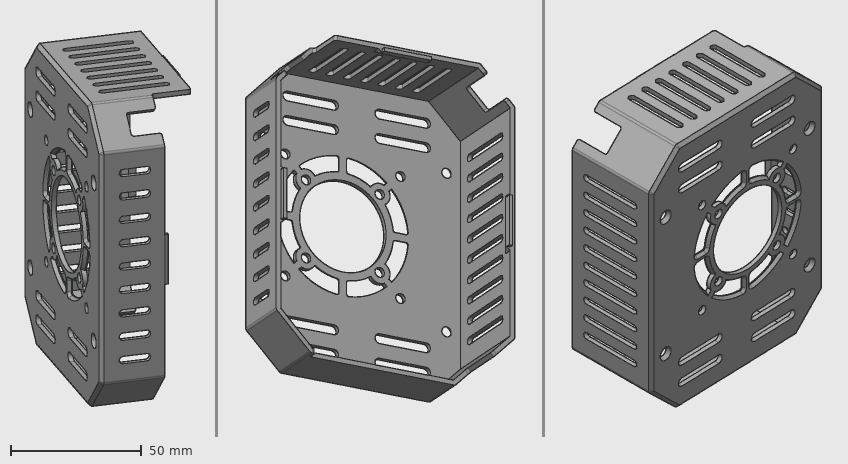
import cadquery as cq
import math

WIDTH = 95.0
HEIGHT = 125.0
DEPTH = 42.0
CORNER_CUT = 15.0
CORNER_RADIUS = 1.6
WALL = 2.0
PLATE_CHAMFER = 1.5

SIDE_RIM = DEPTH - 16.0
BOTTOM_RIM = DEPTH - 20.0
STEP_X = 30.6
DIAGONAL_STEP = -1.6
NOTCH_RADIUS = 1.0

LEFT_NOTCH_LENGTH = 12.0
LEFT_NOTCH_DEPTH = 15.0
RIGHT_NOTCH_LENGTH = 10.0
RIGHT_NOTCH_DEPTH = 12.0

WALL_SLOT_WIDTH = 3.0
SLOT_START = 7.8
SLOT_END = 35.9
SHORT_SLOT_END = 20.2
TOP_SLOTS = 7
TOP_SLOT_PITCH = 7.5
LEFT_SLOTS = 10
LEFT_SLOT_PITCH = HEIGHT / 15
RIGHT_SLOTS = 9
RIGHT_SLOT_PITCH = 9.6

PLATE_SLOT_LENGTH = 24.0
PLATE_SLOT_WIDTH = 4.0
PLATE_SLOT_X = 20.0
PLATE_SLOT_ROWS = (41.0, 51.0)
PLATE_SLOT_CENTRE = (-0.5, 0.4)

HOLE_DIAMETER = 4.0
MOUNT_X = 39.5
MOUNT_Z = 32.5
MOUNT_SINK_DIAMETER = 6.0

FAN_X = 5.5
FAN_Z = 2.5
FAN_BORE_RADIUS = 18.8
VENT_INNER_RADIUS = 21.0
VENT_OUTER_RADIUS = 29.5
SPOKE_WIDTH = 1.2
VENT_RADIUS = 2.0
VENT_BEVEL_WIDTH = 1.0
VENT_BEVEL_DEPTH = 1.5
SMALL_FAN_OFFSET = 16.0
LARGE_FAN_OFFSET = 25.0
BOSS_RADIUS = 4.5
BRACE_WIDTH = 3.0

TAB_LENGTH = 20.5
TAB_THICKNESS = 1.5
TAB_HEIGHT = 2.0
TAB_GRIP = 1.0
TAB_ROOT = 3.6

RIGHT, UPPER_RIGHT, TOP, UPPER_LEFT, LEFT, LOWER_LEFT, BOTTOM = range(0, 271, 45)


def plate_plane(y):
    """Plane parallel to the plate: local x is Z, local y is X, extruding towards +Y."""
    return cq.Plane(origin=(0, y, 0), xDir=(0, 0, 1), normal=(0, 1, 0))


def octagon(y, inset, depth):
    """Octagonal prism whose sides lie `inset` inside the outer walls."""
    x = WIDTH / 2 - inset
    z = HEIGHT / 2 - inset
    cut = CORNER_CUT - inset * (2 - math.sqrt(2))
    points = [
        (z, x - cut), (z - cut, x), (cut - z, x), (-z, x - cut),
        (-z, cut - x), (cut - z, -x), (z - cut, -x), (z, cut - x),
    ]
    return cq.Workplane(plate_plane(y)).polyline(points).close().extrude(depth)


def wall_plane(angle):
    """Plane on the outside of a wall: local y is Y, extruding outwards."""
    outward_x = math.cos(math.radians(angle))
    outward_z = math.sin(math.radians(angle))
    inset = CORNER_CUT / 2 if angle % 90 else 0
    centre_x = round(outward_x) * (WIDTH / 2 - inset)
    centre_z = round(outward_z) * (HEIGHT / 2 - inset)
    return cq.Plane(
        origin=(centre_x, 0, centre_z),
        xDir=(outward_z, 0, -outward_x),
        normal=(outward_x, 0, outward_z),
    )


def rim_notch(angle, start, end, floor, rim, reach=2 * WALL):
    """Cutter lowering a wall from `rim` to `floor`, rounded at the floor and at the rim."""
    r = NOTCH_RADIUS
    outline = (
        cq.Workplane(wall_plane(angle))
        .moveTo(start - r, rim)
        .radiusArc((start, rim - r), r)
        .lineTo(start, floor + r)
        .radiusArc((start + r, floor), -r)
        .lineTo(end - r, floor)
        .radiusArc((end, floor + r), -r)
        .lineTo(end, rim - r)
        .radiusArc((end + r, rim), r)
        .lineTo(end + r, DEPTH + 1.2)
        .lineTo(start - r, DEPTH + 1.2)
        .close()
    )
    return outline.extrude(reach, both=True)


def wall_slots(angle, centres, start, end):
    """Cutter for slots running along Y through one wall."""
    middle = (start + end) / 2
    return (
        cq.Workplane(wall_plane(angle))
        .pushPoints([(u, middle) for u in centres])
        .slot2D(end - start, WALL_SLOT_WIDTH, 90)
        .extrude(2 * WALL, both=True)
    )


def spaced(count, pitch):
    """Evenly spaced places centred on zero."""
    return [(i - (count - 1) / 2) * pitch for i in range(count)]


def tab(angle, rim):
    """Tab standing above the rim on the inside of a wall, with a root that slopes into the wall."""
    plane = wall_plane(angle)
    inside = cq.Workplane(plane).workplane(offset=-WALL)
    blade_height = TAB_HEIGHT + TAB_GRIP
    blade = (
        inside.center(0, rim + TAB_HEIGHT - blade_height / 2)
        .rect(TAB_LENGTH, blade_height)
        .extrude(-TAB_THICKNESS)
    )
    root = (
        inside.center(0, rim - TAB_ROOT / 2)
        .rect(TAB_LENGTH + 2 * TAB_THICKNESS, TAB_ROOT)
        .workplane(offset=-TAB_THICKNESS)
        .center(0, (TAB_ROOT - TAB_GRIP) / 2)
        .rect(TAB_LENGTH, TAB_GRIP)
        .loft()
    )
    return blade.union(root)


def corners(x, z):
    return [(sx * x, sz * z) for sx in (-1, 1) for sz in (-1, 1)]


def draft_angle(narrowing, depth):
    """Taper that moves a side inwards by `narrowing` over `depth`."""
    return math.degrees(math.atan2(narrowing, depth))


def fan_plane():
    plane = cq.Plane(origin=(FAN_X, 0, FAN_Z), xDir=(1, 0, 0), normal=(0, -1, 0))
    return cq.Workplane(plane)


def fan_vents():
    """Four ring sectors between the upright and level spokes, bevelled on the outer face."""
    ring = fan_plane().circle(VENT_OUTER_RADIUS).circle(VENT_INNER_RADIUS).extrude(-WALL)
    side = VENT_OUTER_RADIUS
    middle = (SPOKE_WIDTH + side) / 2
    quadrants = fan_plane().pushPoints(corners(middle, middle)).rect(side, side).extrude(-WALL)
    sectors = ring.intersect(quadrants).edges("|Y").fillet(VENT_RADIUS)
    outlines = fan_plane().add(sectors.faces("<Y").wires().vals()).toPending()
    bevel_angle = draft_angle(VENT_BEVEL_WIDTH, VENT_BEVEL_DEPTH)
    bevels = outlines.extrude(-VENT_BEVEL_DEPTH, taper=bevel_angle)
    throats = bevels.faces(">Y").wires().toPending().extrude(-WALL)
    return bevels.union(throats)


def fan_braces():
    """Screw bosses of the small fan, each tied to the plate by a slanted brace."""
    screws = corners(SMALL_FAN_OFFSET, SMALL_FAN_OFFSET)
    bosses = fan_plane().pushPoints(screws).circle(BOSS_RADIUS).extrude(-WALL)
    inner = SMALL_FAN_OFFSET * math.sqrt(2)
    outer = VENT_OUTER_RADIUS + BRACE_WIDTH / 2
    for angle in (45, 135, 225, 315):
        brace = (
            fan_plane().transformed(rotate=(0, 0, angle))
            .center((inner + outer) / 2, 0)
            .rect(outer - inner, BRACE_WIDTH)
            .extrude(-WALL)
        )
        bosses = bosses.union(brace)
    return bosses


body = octagon(0, 0, DEPTH).edges("|Y").fillet(CORNER_RADIUS).faces("<Y").chamfer(PLATE_CHAMFER)
body = body.cut(octagon(WALL, WALL, DEPTH))

body = body.cut(fan_vents())
body = body.union(fan_braces())
body = body.cut(fan_plane().circle(FAN_BORE_RADIUS).extrude(-WALL))
for offset in (SMALL_FAN_OFFSET, LARGE_FAN_OFFSET):
    body = body.cut(fan_plane().pushPoints(corners(offset, offset)).circle(HOLE_DIAMETER / 2).extrude(-WALL))

front = cq.Workplane("XZ")
mounts = front.pushPoints(corners(MOUNT_X, MOUNT_Z))
sink_angle = draft_angle((MOUNT_SINK_DIAMETER - HOLE_DIAMETER) / 2, WALL)
body = body.cut(mounts.circle(MOUNT_SINK_DIAMETER / 2).extrude(-WALL, taper=sink_angle))
for row in PLATE_SLOT_ROWS:
    places = corners(PLATE_SLOT_X, row)
    slot_grid = front.center(*PLATE_SLOT_CENTRE)
    body = body.cut(slot_grid.pushPoints(places).slot2D(PLATE_SLOT_LENGTH, PLATE_SLOT_WIDTH).extrude(-WALL))

body = body.cut(wall_slots(TOP, spaced(TOP_SLOTS, TOP_SLOT_PITCH), SLOT_START, SLOT_END))
body = body.cut(wall_slots(LEFT, spaced(LEFT_SLOTS, LEFT_SLOT_PITCH), SLOT_START, SLOT_END))
body = body.cut(wall_slots(RIGHT, spaced(RIGHT_SLOTS, RIGHT_SLOT_PITCH), SLOT_START, SHORT_SLOT_END))

body = body.cut(rim_notch(TOP, STEP_X, WIDTH, SIDE_RIM, DEPTH, reach=2 * HEIGHT))
bottom_end = WIDTH / 2 - CORNER_CUT / 2
body = body.cut(rim_notch(BOTTOM, -WIDTH, bottom_end, SIDE_RIM, DEPTH))
body = body.cut(rim_notch(BOTTOM, -STEP_X, bottom_end, BOTTOM_RIM, SIDE_RIM))
body = body.cut(rim_notch(LOWER_LEFT, -2 * CORNER_CUT, DIAGONAL_STEP, BOTTOM_RIM, DEPTH))

for angle, length, depth, rim in (
    (UPPER_LEFT, LEFT_NOTCH_LENGTH, LEFT_NOTCH_DEPTH, DEPTH),
    (UPPER_RIGHT, RIGHT_NOTCH_LENGTH, RIGHT_NOTCH_DEPTH, SIDE_RIM),
):
    body = body.cut(rim_notch(angle, -length / 2, length / 2, rim - depth, rim))

for angle, rim in ((TOP, DEPTH), (LEFT, DEPTH), (RIGHT, SIDE_RIM)):
    body = body.union(tab(angle, rim))

result = body